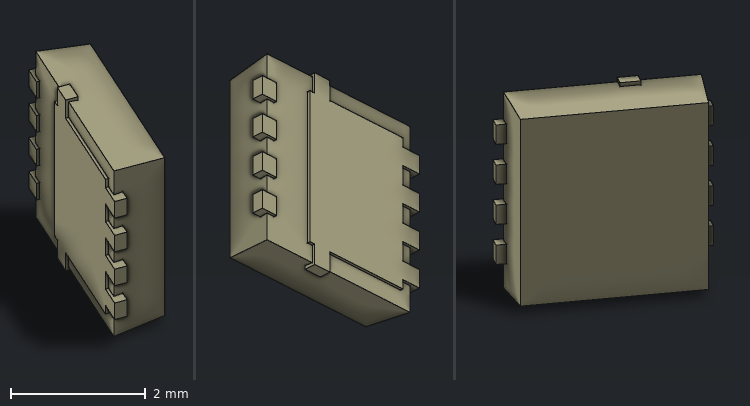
import cadquery as cq

overall_width = 3.3
overall_height = 3.3
overall_depth = 0.9

standoff = 0.05
lead_overhang = 0.15
tab_overhang = 0.05
draft_angle = 5.0
housing_width = overall_width - 2 * lead_overhang
housing_height = overall_height - 2 * tab_overhang
housing_depth = overall_depth - standoff

metal_thickness = 0.2
lead_length = 0.3
lead_width = 0.32
lead_pitch = 0.655
lead_count = 4

pad_height = 2.6
pad_left_inset = 1.0
finger_length = 0.35
tab_inset = 0.1

left_end = -overall_width / 2
right_end = overall_width / 2
pad_left = left_end + pad_left_inset
pad_right = right_end - finger_length
tab_left = pad_left + tab_inset
lead_heights = [(i - (lead_count - 1) / 2) * lead_pitch for i in range(lead_count)]


def metal_block(x_start, x_end, height, z_center):
    """Rectangular block of lead-frame metal standing on the mounting face."""
    width = x_end - x_start
    block = cq.Workplane("XY").box(width, metal_thickness, height, centered=(False, False, True))
    return block.translate((x_start, 0, z_center))


def make_lead(z_center):
    """Separate lead on the left side."""
    return metal_block(left_end, left_end + lead_length, lead_width, z_center)


def make_drain_plate():
    """Drain pad with a vertical tab strip and one finger per lead row."""
    plate = metal_block(pad_left, pad_right, pad_height, 0)
    plate = plate.union(metal_block(tab_left, tab_left + lead_width, overall_height, 0))
    for z_center in lead_heights:
        plate = plate.union(metal_block(pad_left, right_end, lead_width, z_center))
    return plate.clean().solids()


def make_housing(metal_parts):
    """Tapered block with a matching recess for every metal part."""
    housing = (
        cq.Workplane("ZX", origin=(0, standoff, 0))
        .rect(housing_height, housing_width)
        .extrude(housing_depth, taper=draft_angle)
    )
    for metal_part in metal_parts:
        housing = housing.cut(metal_part)
    return housing.solids()


leads = [make_lead(z_center) for z_center in lead_heights]
drain_plate = make_drain_plate()
housing = make_housing([*leads, drain_plate])

result = cq.Compound.makeCompound([
    housing.val(),
    drain_plate.val(),
    *[lead.val() for lead in leads],
])